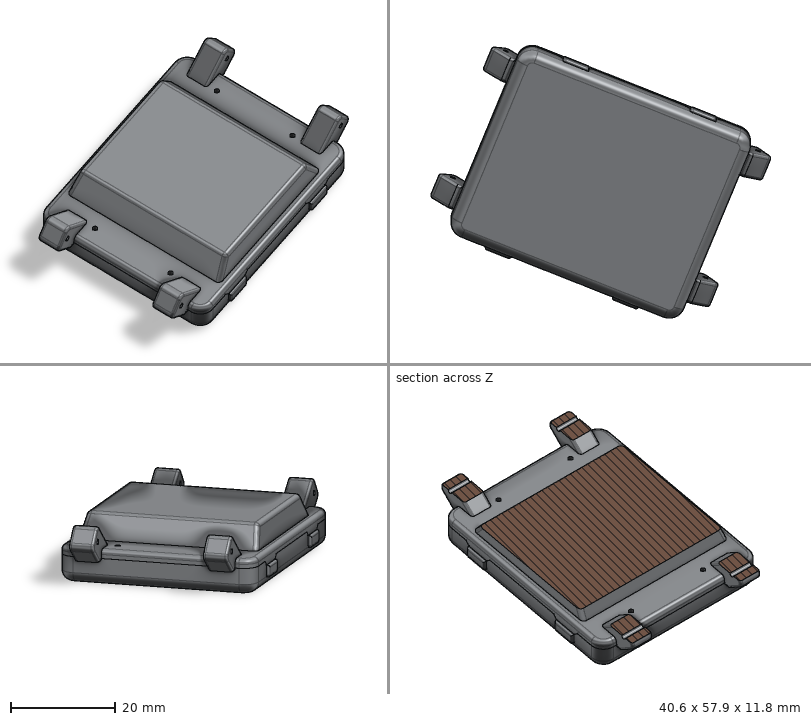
import cadquery as cq
import math

case_width = 39.45
case_length = 48.0
case_height = 7.0
case_corner_radius = 3.0
case_top_radius = 1.0
case_bottom_radius = 2.0
wall_y = case_length / 2
wall_x = case_width / 2

button_width = 5.3
button_top = 4.3
button_bottom = 1.8
button_y = 13.2
button_total_span = 40.6
button_recess = 1.0
button_edge_radius = 0.45
button_corner_radius = 0.5

parting_height = 5.2
trough_depth = parting_height - button_top

panel_width = 36.2
panel_length = 33.1
panel_top = 11.8
panel_side_lean = math.radians(10)
panel_end_lean = math.radians(35)
panel_edge_radius = 1.0

lug_width = 5.0
lug_x = 13.5
lug_tilt = math.radians(39)
lug_thickness = 5.5
lug_corner_radius = 1.2
lug_edge_radius = 0.5
lug_reach = 28.95
lug_top = panel_top
lug_bottom = 4.6
pin_hole_diameter = 1.0
pin_hole_y = 26.15
pin_hole_z = 8.95

screw_hole_diameter = 1.0
screw_hole_x = 8.95
screw_hole_y = 19.95


def make_case():
    block = cq.Workplane("XY").box(case_width, case_length, case_height, centered=(True, True, False))
    block = block.edges("|Z").fillet(case_corner_radius)
    block = block.faces(">Z").edges().fillet(case_top_radius)
    return block.faces("<Z").edges().fillet(case_bottom_radius)


def make_space_below_parting():
    """Everything under the parting surface, which runs straight along X."""
    outline = [(-wall_y, 0), (wall_y, 0), (wall_y, parting_height)]
    for center in (button_y, -button_y):
        outline += [
            (center + button_width / 2 + trough_depth, parting_height),
            (center + button_width / 2, button_top),
            (center - button_width / 2, button_top),
            (center - button_width / 2 - trough_depth, parting_height),
        ]
    outline.append((-wall_y, parting_height))
    return cq.Workplane("YZ").polyline(outline).close().extrude(wall_x, both=True)


def make_panel():
    rise = panel_top - case_height
    top_width = panel_width - 2 * rise * math.tan(panel_side_lean)
    top_length = panel_length - 2 * rise * math.tan(panel_end_lean)
    panel = (
        cq.Workplane("XY")
        .workplane(offset=case_height)
        .rect(panel_width, panel_length)
        .workplane(offset=rise)
        .rect(top_width, top_length)
        .loft(ruled=True)
    )
    return panel.edges("not <Z").fillet(panel_edge_radius)


def make_lug():
    """The lug at the +X, +Y corner of the cover."""
    along_y, along_z = math.cos(lug_tilt), math.sin(lug_tilt)

    center_spacing = lug_thickness - 2 * lug_corner_radius
    lower_y = lug_reach - lug_corner_radius
    upper_z = lug_top - lug_corner_radius
    upper_y = lower_y - center_spacing * along_z
    lower_z = upper_z - center_spacing * along_y

    upper_tip = (
        upper_y + lug_corner_radius * (along_y - along_z),
        upper_z + lug_corner_radius * (along_z + along_y),
    )
    lower_tip = (
        lower_y + lug_corner_radius * (along_y + along_z),
        lower_z + lug_corner_radius * (along_z - along_y),
    )
    heel_y = lower_tip[0] - (lower_tip[1] - lug_bottom) / math.tan(lug_tilt)
    root_y = upper_tip[0] - (upper_tip[1] - parting_height) / math.tan(lug_tilt)
    outline = [
        (root_y, parting_height),
        upper_tip,
        lower_tip,
        (heel_y, lug_bottom),
        (wall_y, lug_bottom),
        (wall_y, parting_height),
    ]
    lug = (
        cq.Workplane("YZ")
        .workplane(offset=lug_x - lug_width / 2)
        .polyline(outline)
        .close()
        .extrude(lug_width)
    )
    for tip in (upper_tip, lower_tip):
        lug = lug.edges(cq.selectors.NearestToPointSelector((lug_x, *tip))).fillet(lug_corner_radius)

    side_edges = lug.faces("<X or >X").edges("not |Z")
    tolerance = lug_edge_radius / 2
    rounded_edges = side_edges.filter(lambda edge: abs(edge.Center().z - parting_height) > tolerance)
    wall_edge = lug.edges(cq.selectors.NearestToPointSelector((lug_x, wall_y, lug_bottom)))
    return rounded_edges.add(wall_edge).fillet(lug_edge_radius)


def make_pin_hole():
    pin = cq.Workplane("YZ").center(pin_hole_y, pin_hole_z).circle(pin_hole_diameter / 2)
    return pin.extrude(wall_x)


def make_button():
    """The upper button on the +X side."""
    outer_x = button_total_span / 2
    inner_x = wall_x - button_recess
    height = button_top - button_bottom
    button = (
        cq.Workplane("XY")
        .box(outer_x - inner_x, button_width, height, centered=(False, True, False))
        .translate((inner_x, button_y, button_bottom))
    )
    button = button.edges("|X and <Z").fillet(button_corner_radius)
    return button.faces(">X").edges().fillet(button_edge_radius)


def at_four_corners(body):
    """The body itself and its mirror images across the two middle planes."""
    pair = [body, body.mirror("YZ")]
    return pair + [copy.mirror("XZ") for copy in pair]


def make_base(case, below_parting, buttons):
    base = case.intersect(below_parting)
    for button in buttons:
        base = base.cut(button)
    return base


def make_cover(case, below_parting):
    cover = case.cut(below_parting).union(make_panel())
    for lug in at_four_corners(make_lug()):
        cover = cover.union(lug)
    for pin_hole in at_four_corners(make_pin_hole()):
        cover = cover.cut(pin_hole)
    screw_holes = (
        cq.Workplane("XY")
        .workplane(offset=parting_height)
        .rect(2 * screw_hole_x, 2 * screw_hole_y, forConstruction=True)
        .vertices()
        .circle(screw_hole_diameter / 2)
        .extrude(case_height - parting_height)
    )
    return cover.cut(screw_holes)


case = make_case()
below_parting = make_space_below_parting()
buttons = at_four_corners(make_button())
base = make_base(case, below_parting, buttons)
cover = make_cover(case, below_parting)

result = cq.Compound.makeCompound([base.val(), cover.val(), *[button.val() for button in buttons]])